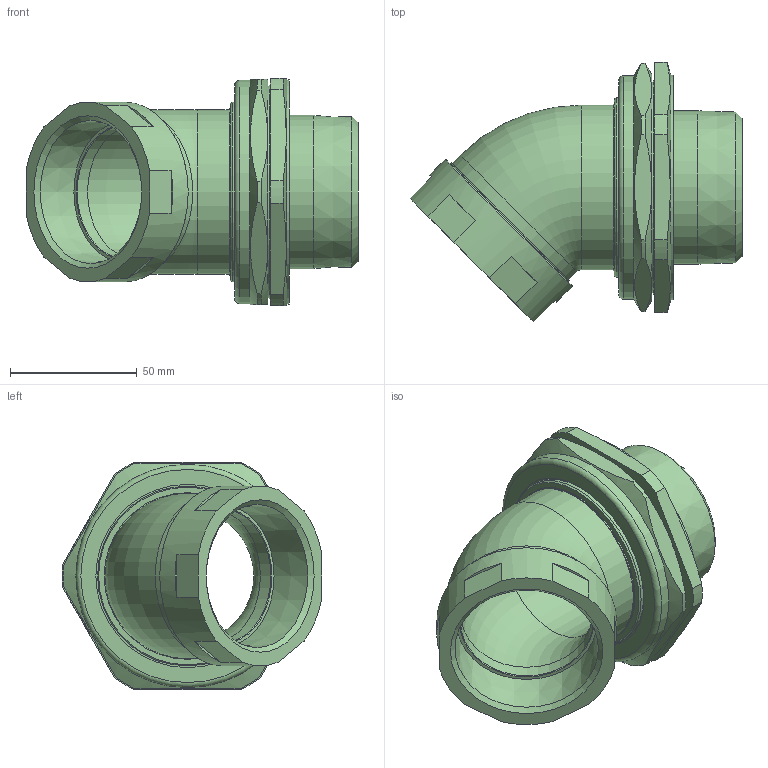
import cadquery as cq
import math

HEX_SIDES = 6
HEX_STEP = 360 / HEX_SIDES

pipe_radius = 32.5
bore_radius = 26.2
bend_radius = 35.0
bend_angle = 45.0
neck_radius = 32.9
neck_length = 0.5
outlet_stub_length = 26.1

collar_length = 21.0
collar_radius = 35.5
collar_end_chamfer = 0.4
wrench_flats = 69.0
wrench_flat_length = 12.0
thread_taper = 1 / 16
socket_depth = 20.0
socket_lead_in = 1.8
socket_mouth_radius = 30.1
bore_edge_chamfer = 0.3

ring_start = 13.1
ring_radius = 35.5
ring_chamfer_length = 0.8
ring_chamfer_height = 0.4
flange_start = 14.8
flange_radius = 44.1
flange_fillet = 2.0
seat_radius = 36.2
seat_depth = 0.5
body_hex_start = 20.8
body_hex_end = 27.9
washer_radius = 41.7
nut_collar_start = 28.5
nut_collar_radius = 42.1
nut_start = 28.9
nut_hex_end = 35.35
nut_end = 36.4
nut_face_radius = 44.4
spigot_taper_start = 46.1
spigot_end = 63.5
spigot_radius = 30.25
spigot_chamfer = 2.5

body_hex_flats = 89.0
body_hex_corner_radius = 49.1
body_hex_chamfer_angle = 30.0
nut_flats = 90.0
nut_corner_radius = 49.55
nut_chamfer_angle = 15.0


def turned(points):
    """Revolve a closed (x, radius) outline about the X axis."""
    return cq.Workplane("XY").polyline(points).close().revolve(360, (0, 0, 0), (1, 0, 0))


def disc(start, end, radius):
    """Cylinder about the X axis between two stations."""
    return cq.Workplane("YZ", origin=(start, 0, 0)).circle(radius).extrude(end - start)


def hexagon(start, end, flats):
    """Hexagonal prism about the X axis with flats facing +Z and -Z."""
    corner_diameter = flats / math.cos(math.radians(HEX_STEP / 2))
    return cq.Workplane("YZ", origin=(start, 0, 0)).polygon(HEX_SIDES, corner_diameter).extrude(end - start)


def cone_run(rise, angle):
    """Axial length of a chamfer cone of the given rise; the angle is from the face plane."""
    return rise * math.tan(math.radians(angle))


def bent_rod(radius, start_x):
    """Solid rod from start_x back through the bend to the collar face."""
    straight = disc(0, start_x, radius)
    bend = (
        cq.Workplane("YZ")
        .circle(radius)
        .revolve(bend_angle, (-bend_radius, 0, 0), (-bend_radius, 1, 0))
    )
    stub = cq.Workplane("YZ").circle(radius).extrude(-outlet_stub_length)
    return straight.union(bend).union(at_bend_end(stub))


def at_bend_end(shape):
    """Carry a shape built along -X from the origin round to the end of the bend."""
    return shape.rotate((0, -bend_radius, 0), (0, -bend_radius, 1), bend_angle)


def collar():
    """Hexagon-flatted collar at the outlet, with the raised neck behind it."""
    face = -outlet_stub_length
    back = face + collar_length
    body = turned([
        (face, 0),
        (face, collar_radius),
        (back - collar_end_chamfer, collar_radius),
        (back, collar_radius - collar_end_chamfer),
        (back, 0),
    ])
    flats_end = face + wrench_flat_length
    hex_core = hexagon(face, flats_end, wrench_flats).rotate((0, 0, 0), (1, 0, 0), HEX_STEP / 2)
    outside_flats = disc(face, flats_end, 2 * collar_radius).cut(hex_core)
    neck = disc(back, back + neck_length, neck_radius)
    return at_bend_end(body.cut(outside_flats).union(neck))


def socket():
    """Void of the tapered outlet socket, with lead-in and a broken bore edge."""
    face = -outlet_stub_length
    thread_start = face + socket_lead_in
    thread_end = face + socket_depth
    thread_radius = socket_mouth_radius - socket_lead_in
    thread_end_radius = thread_radius - (thread_end - thread_start) * thread_taper / 2
    return at_bend_end(turned([
        (face, 0),
        (face, socket_mouth_radius),
        (thread_start, thread_radius),
        (thread_end, thread_end_radius),
        (thread_end, bore_radius + bore_edge_chamfer),
        (thread_end + bore_edge_chamfer, bore_radius),
        (thread_end + bore_edge_chamfer, 0),
    ]))


def flange():
    """Round flange with a ring seated in a shallow recess, and the neck ahead of it."""
    plate = disc(flange_start, body_hex_start, flange_radius).faces("<X").edges().fillet(flange_fillet)
    seat_floor = flange_start + seat_depth
    seat = disc(flange_start, seat_floor, seat_radius)
    ring = turned([
        (ring_start, 0),
        (ring_start, ring_radius - ring_chamfer_height),
        (ring_start + ring_chamfer_length, ring_radius),
        (seat_floor, ring_radius),
        (seat_floor, 0),
    ])
    neck = disc(ring_start - neck_length, ring_start, neck_radius)
    return plate.cut(seat).union(ring).union(neck)


def body_hex():
    """Body hexagon with its corners turned down on both faces."""
    rear_rise = body_hex_corner_radius - flange_radius
    front_rise = body_hex_corner_radius - body_hex_flats / 2
    envelope = turned([
        (body_hex_start, 0),
        (body_hex_start, flange_radius),
        (body_hex_start + cone_run(rear_rise, body_hex_chamfer_angle), body_hex_corner_radius),
        (body_hex_end - cone_run(front_rise, body_hex_chamfer_angle), body_hex_corner_radius),
        (body_hex_end, body_hex_flats / 2),
        (body_hex_end, 0),
    ])
    return hexagon(body_hex_start, body_hex_end, body_hex_flats).intersect(envelope)


def lock_nut():
    """Lock nut hexagon, turned down to a round face at the spigot side."""
    rise = nut_corner_radius - nut_face_radius
    envelope = turned([
        (nut_start, 0),
        (nut_start, nut_corner_radius),
        (nut_hex_end - cone_run(rise, nut_chamfer_angle), nut_corner_radius),
        (nut_hex_end, nut_face_radius),
        (nut_end, nut_face_radius),
        (nut_end, 0),
    ])
    return hexagon(nut_start, nut_end, nut_flats).intersect(envelope)


def spigot():
    """Spigot with a parallel part, a tapered thread envelope and a chamfered tip."""
    tip_start = spigot_end - spigot_chamfer
    tip_radius = spigot_radius - (tip_start - spigot_taper_start) * thread_taper / 2
    return turned([
        (body_hex_start, 0),
        (body_hex_start, spigot_radius),
        (spigot_taper_start, spigot_radius),
        (tip_start, tip_radius),
        (spigot_end, tip_radius - spigot_chamfer),
        (spigot_end, 0),
    ])


result = (
    bent_rod(pipe_radius, flange_start)
    .union(collar())
    .union(flange())
    .union(body_hex())
    .union(disc(body_hex_end, nut_collar_start, washer_radius))
    .union(disc(nut_collar_start, nut_start, nut_collar_radius))
    .union(lock_nut())
    .union(spigot())
    .cut(bent_rod(bore_radius, spigot_end))
    .cut(socket())
)